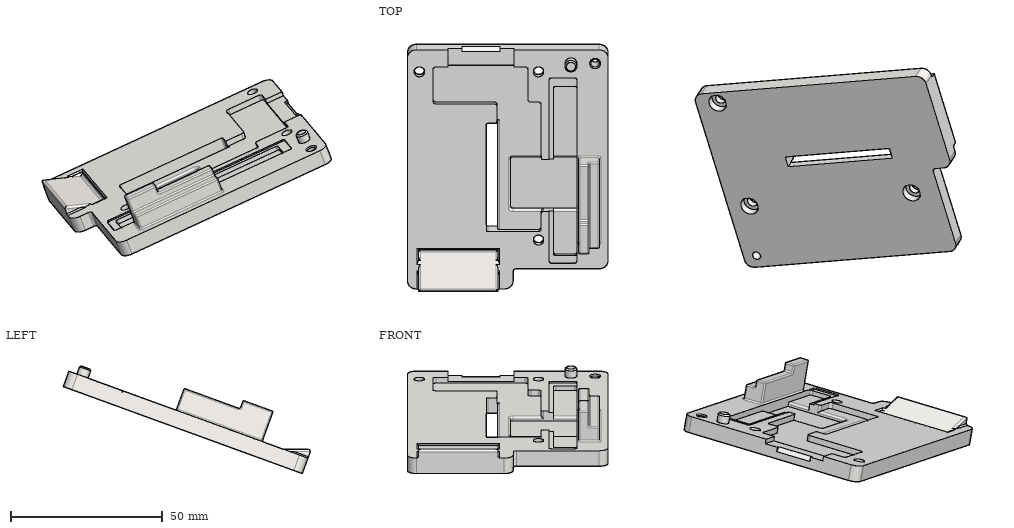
import cadquery as cq
import math

TILT = 20
PLATE_W, PLATE_L, PLATE_T = 66.3, 83.95, 5.5
PLATE_CORNER_R = 3.0
NOTCH_X, NOTCH_Y, NOTCH_R = 35.0, 7.1, 1.0
EDGE_R = 0.7
POCKET_CORNER_R = 1.0

POCKET_DEPTH = 2.0
POCKET_BACK, POCKET_FRONT = 77.9, 20.2
POCKET_LEFT, POCKET_WAIST, POCKET_MID, POCKET_RIGHT = 8.5, 29.6, 39.8, 44.2
POCKET_STEP_LEFT, POCKET_STEP_RIGHT = 64.95, 65.6
SLOT_LEFT, SLOT_RIGHT, SLOT_BACK = 26.1, 29.75, 58.1
SLOT_CORNER_R = 0.5
SLOT_OVERRUN = 0.5

CHANNEL_LEFT, CHANNEL_RIGHT, CHANNEL_DEPTH = 13.45, 35.1, 1.55
DIP_LEFT, DIP_RIGHT, DIP_LENGTH, DIP_DEPTH = 18.1, 30.6, 1.15, 1.5

RECESS_RIGHT = 55.9
LEDGE_LEFT, LEDGE_FRONT, LEDGE_BACK, LEDGE_DEPTH = 46.8, 9.05, 74.0, 0.5
FLOOR_LEFT, FLOOR_FRONT, FLOOR_BACK = 48.25, 11.6, 71.0

WELL_LEFT, WELL_FRONT, WELL_BACK, WELL_DEPTH = 34.1, 27.2, 45.4, 3.5

RIB_LEFT, RIB_WALL_RIGHT, RIB_RIGHT = 56.5, 60.0, 63.4
RIB_FRONT, RIB_BACK, RIB_STEP = 16.05, 46.3, 26.65
RIB_LOW, RIB_HIGH, SHOULDER_H = 7.7, 10.6, 5.1
RIB_R = 0.5

SCREW_POINTS = [(4.0, 76.2), (43.3, 76.2), (43.3, 17.2)]
SCREW_D, SCREW_BORE_D, SCREW_SEAT_T = 3.4, 6.0, 2.45

PIN_X, PIN_Y, PIN_D, PIN_H, PIN_CHAMFER = 53.95, 79.1, 4.0, 3.0, 0.5
HOLE_X, HOLE_D, HOLE_MOUTH_D = 61.9, 2.8, 3.6

RAMP_LEFT, RAMP_RIGHT = 3.7, 30.0
RAMP_BACK, RAMP_LEVEL = 12.95, 2.9
RAMP_R, RAMP_FLARE = 0.7, 0.5

REACH = 0.1
BEVEL = 45


def block(x0, x1, y0, y1, z0, z1):
    return cq.Workplane("XY").box(x1 - x0, y1 - y0, z1 - z0, centered=False).translate((x0, y0, z0))


def pocket(x0, x1, y0, y1, depth, corner_r):
    return block(x0, x1, y0, y1, -depth, 0).edges("|Z").fillet(corner_r)


def round_corners(body, corners, radius):
    """Fillet the vertical edges standing on the given (x, y) corners."""
    for x, y in corners:
        low = (x - REACH, y - REACH, -PLATE_T)
        high = (x + REACH, y + REACH, PLATE_T)
        near = cq.selectors.BoxSelector(low, high)
        body = body.edges("|Z").edges(near).fillet(radius)
    return body


def tilt(body):
    return body.rotate((0, 0, 0), (1, 0, 0), TILT)


def make_plate():
    notch = (NOTCH_X, NOTCH_Y)
    points = [(0, 0), (NOTCH_X, 0), notch, (PLATE_W, NOTCH_Y), (PLATE_W, PLATE_L), (0, PLATE_L)]
    plate = cq.Workplane("XY").polyline(points).close().extrude(-PLATE_T)
    plate = round_corners(plate, [notch], NOTCH_R)
    return round_corners(plate, [p for p in points if p != notch], PLATE_CORNER_R)


def board_pocket():
    points = [
        (POCKET_LEFT, POCKET_BACK),
        (POCKET_MID, POCKET_BACK),
        (POCKET_MID, POCKET_STEP_RIGHT),
        (POCKET_RIGHT, POCKET_STEP_RIGHT),
        (POCKET_RIGHT, POCKET_FRONT),
        (POCKET_WAIST, POCKET_FRONT),
        (POCKET_WAIST, POCKET_STEP_LEFT),
        (POCKET_LEFT, POCKET_STEP_LEFT),
    ]
    outline = cq.Workplane("XY").polyline(points).close().extrude(-POCKET_DEPTH)
    slot_corner = (POCKET_WAIST, POCKET_FRONT)
    return round_corners(outline, [p for p in points if p != slot_corner], POCKET_CORNER_R)


def cut_pockets(plate):
    plate = plate.cut(board_pocket())
    plate = plate.cut(pocket(LEDGE_LEFT, RECESS_RIGHT, LEDGE_FRONT, LEDGE_BACK, LEDGE_DEPTH, EDGE_R))
    plate = plate.cut(pocket(FLOOR_LEFT, RECESS_RIGHT, FLOOR_FRONT, FLOOR_BACK, POCKET_DEPTH, EDGE_R))
    well = block(WELL_LEFT, RECESS_RIGHT, WELL_FRONT, WELL_BACK, -WELL_DEPTH, 0)
    plate = plate.cut(well.edges("|Z and <X").fillet(EDGE_R))
    slot = block(SLOT_LEFT, SLOT_RIGHT, POCKET_FRONT, SLOT_BACK, -PLATE_T, 0)
    plate = plate.cut(slot.edges("|Z and <X").fillet(SLOT_CORNER_R))
    tongue_corners = [(POCKET_RIGHT, WELL_FRONT), (POCKET_RIGHT, WELL_BACK)]
    plate = round_corners(plate, tongue_corners, EDGE_R)
    channel_start = POCKET_BACK - POCKET_CORNER_R
    plate = plate.cut(block(CHANNEL_LEFT, CHANNEL_RIGHT, channel_start, PLATE_L, -CHANNEL_DEPTH, 0))
    return plate


def round_well_rim(plate):
    rim_box = cq.selectors.BoxSelector(
        (WELL_LEFT - REACH, WELL_FRONT - REACH, -POCKET_DEPTH - REACH),
        (RECESS_RIGHT - REACH, WELL_BACK + REACH, -POCKET_DEPTH + REACH),
    )
    return plate.edges(rim_box).fillet(EDGE_R)


def slot_rounding():
    """Cutter that rolls the pocket floor over into the right wall of the slot."""
    back = SLOT_BACK + SLOT_OVERRUN
    return (
        cq.Workplane("XZ", origin=(SLOT_RIGHT, back, -POCKET_DEPTH))
        .lineTo(EDGE_R, 0)
        .radiusArc((0, -EDGE_R), -EDGE_R)
        .close()
        .extrude(back - POCKET_FRONT)
    )


def channel_dip():
    """Bevel on the back edge of the channel floor."""
    return (
        cq.Workplane("YZ", origin=(DIP_LEFT, PLATE_L, -CHANNEL_DEPTH))
        .polyline([(-DIP_LENGTH, 0), (0, 0), (0, -DIP_DEPTH)])
        .close()
        .extrude(DIP_RIGHT - DIP_LEFT)
    )


def make_rib():
    profile = [
        (RIB_FRONT, 0),
        (RIB_BACK, 0),
        (RIB_BACK, RIB_LOW),
        (RIB_STEP, RIB_LOW),
        (RIB_STEP, RIB_HIGH),
        (RIB_FRONT, RIB_HIGH),
    ]
    outline = cq.Workplane("YZ", origin=(RIB_LEFT, 0, 0)).polyline(profile).close()
    wall = outline.extrude(RIB_WALL_RIGHT - RIB_LEFT)
    shoulder = block(RIB_WALL_RIGHT, RIB_RIGHT, RIB_FRONT, RIB_BACK, 0, SHOULDER_H)
    return wall.union(shoulder).edges("not <Z").fillet(RIB_R)


def add_rib(plate):
    plate = plate.union(make_rib())
    base = cq.selectors.BoxSelector(
        (RIB_LEFT - REACH, RIB_FRONT - REACH, -REACH),
        (RIB_RIGHT + REACH, RIB_BACK + REACH, REACH),
    )
    return plate.edges(base).fillet(RIB_R)


def drill(x, y, diameter, z_top, depth):
    return cq.Workplane("XY", origin=(x, y, z_top)).circle(diameter / 2).extrude(-depth)


def cut_holes(plate):
    for x, y in SCREW_POINTS:
        plate = plate.cut(drill(x, y, SCREW_D, 0, PLATE_T))
        plate = plate.cut(drill(x, y, SCREW_BORE_D, -SCREW_SEAT_T, PLATE_T - SCREW_SEAT_T))
    plate = plate.cut(drill(HOLE_X, PIN_Y, HOLE_D, 0, PLATE_T))
    sink = (HOLE_MOUTH_D - HOLE_D) / 2
    mouth = cq.Workplane("XY", origin=(HOLE_X, PIN_Y, 0)).circle(HOLE_MOUTH_D / 2)
    return plate.cut(mouth.extrude(-sink, taper=BEVEL))


def make_pin():
    return drill(PIN_X, PIN_Y, PIN_D, PIN_H, PIN_H).faces(">Z").chamfer(PIN_CHAMFER)


def ramp_flare(direction):
    """Bevelled frame around the ramp, widest on the plate's top face.

    direction is -1 for the mouth going down into the plate and 1 for the foot standing on it.
    """
    back = RAMP_BACK / math.cos(math.radians(TILT))
    width = RAMP_RIGHT - RAMP_LEFT + 2 * RAMP_FLARE
    frame = (
        cq.Workplane("XY", origin=((RAMP_LEFT + RAMP_RIGHT) / 2, 0, 0))
        .rect(width, 2 * (back + RAMP_FLARE))
        .extrude(direction * RAMP_FLARE, taper=BEVEL)
    )
    return tilt(frame)


def add_ramp(body):
    behind_front = tilt(block(0, PLATE_W, 0, PLATE_L, -PLATE_T, PLATE_T))
    above_level = block(0, PLATE_W, 0, PLATE_L, RAMP_LEVEL, PLATE_L)
    below_rounding = block(0, PLATE_W, -PLATE_T, PLATE_L, -PLATE_T, RAMP_LEVEL - RAMP_R)

    recess = block(RAMP_LEFT, RAMP_RIGHT, -RAMP_BACK, RAMP_BACK, RAMP_LEVEL, PLATE_L)
    recess = recess.edges("<Z and (|Y or >Y)").fillet(RAMP_R)
    body = body.cut(recess).cut(ramp_flare(-1).intersect(above_level))

    lip = block(RAMP_LEFT, RAMP_RIGHT, -RAMP_BACK, RAMP_BACK, 0, RAMP_LEVEL).intersect(behind_front)
    lip = lip.edges(">Z and (|Y or <Y)").fillet(RAMP_R)
    foot = ramp_flare(1).intersect(behind_front).intersect(below_rounding)
    return body.union(lip).union(foot)


plate = round_well_rim(cut_pockets(make_plate()))
plate = plate.cut(slot_rounding()).cut(channel_dip())
plate = cut_holes(add_rib(plate)).union(make_pin())
result = add_ramp(tilt(plate))